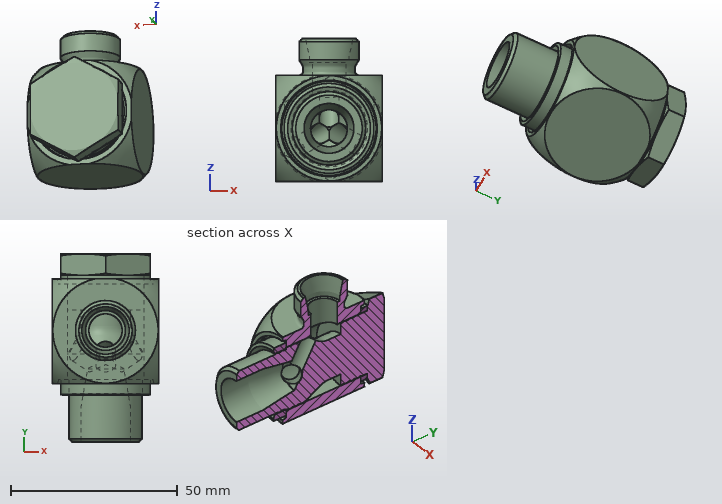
import cadquery as cq
import math


HOUSING_WIDTH = 32.0
HOUSING_FRONT_Y = -HOUSING_WIDTH / 2
HOUSING_REAR_Y = 15.5
FACE_CIRCLE_DIAMETER = 31.65
CROSS_BORE_DIAMETER = 23.0
RECESS_MOUTH_DIAMETER = 29.0
RECESS_FLOOR_DIAMETER = 28.3
RECESS_DEPTH = 1.4
FRONT_FLOOR_Y = HOUSING_FRONT_Y + RECESS_DEPTH
REAR_FLOOR_Y = HOUSING_REAR_Y - RECESS_DEPTH

PORT_HEIGHT = 11.0
PORT_BASE_Z = HOUSING_WIDTH / 2
PORT_TOP_Z = PORT_BASE_Z + PORT_HEIGHT
PORT_DIAMETER = 18.0
PORT_CHAMFER = 1.0
PORT_COLLAR_HEIGHT = 6.45
NECK_DIAMETER = 15.7
NECK_CONE_ANGLE = 30.0
NECK_FILLET = 1.0
PORT_MOUTH_DIAMETER = 14.25
TUBE_DIAMETER = 12.0
TUBE_DEPTH = 7.2
TUBE_CONE_ANGLE = 12.0
PORT_BORE_DIAMETER = 10.0

RING_DIAMETER = 27.0
RING_BORE_DIAMETER = 22.1
RING_CONE_DIAMETER = 24.85
RING_CONE_DEPTH = 0.6
RING_FRONT_Y = -19.5
RING_EDGE_DEPTH = 0.3

BOLT_LENGTH = 56.5
BOLT_FRONT_Y = -33.5
BOLT_REAR_Y = BOLT_FRONT_Y + BOLT_LENGTH
HEAD_LENGTH = 6.4
HEAD_FRONT_Y = BOLT_REAR_Y - HEAD_LENGTH
HEAD_ACROSS_FLATS = 27.0
HEAD_SIDES = 6
HEAD_HALF_SIDE_ANGLE = 180.0 / HEAD_SIDES
HEAD_CHAMFER_ANGLE = 15.0
STUD_DIAMETER = 22.0
STUD_CHAMFER = 1.0
SHANK_DIAMETER = 22.95
WAIST_DIAMETER = 15.0
WAIST_REAR_Y = 6.2
WAIST_ARC_REAR_Y = 1.3
WAIST_ARC_FRONT_Y = -1.4
WAIST_CONE_ANGLE = 30.0
BOLT_MOUTH_DIAMETER = 15.0
BOLT_MOUTH_END_Y = -23.15
BOLT_BORE_DIAMETER = 11.0
BOLT_BORE_TIP_Y = -8.15
BOLT_STEP_ANGLE = 10.0
DRILL_TIP_ANGLE = 59.0
OIL_HOLE_DIAMETER = 6.0
OIL_HOLE_COUNT = 3
OIL_HOLE_ANGLE = WAIST_CONE_ANGLE
OIL_HOLE_AXIS_Y = -12.1
OIL_HOLE_LENGTH = 16.95


def tan(degrees):
    return math.tan(math.radians(degrees))


def turned_about_y(outline):
    """Revolve (radius, y) points about the Y axis."""
    return cq.Workplane("XY").polyline(outline).close().revolve(360, (0, 0, 0), (0, 1, 0))


def turned_about_z(outline):
    """Revolve (radius, z) points about the Z axis."""
    return cq.Workplane("XZ").polyline(outline).close().revolve(360, (0, 0, 0), (0, 1, 0))


def cylinder_along_y(diameter, start_y, end_y):
    radius = diameter / 2
    return turned_about_y([(0, start_y), (radius, start_y), (radius, end_y), (0, end_y)])


def make_block():
    """Block whose edges are rounded off by a sphere, leaving a circle on each face."""
    length = HOUSING_REAR_Y - HOUSING_FRONT_Y
    middle_y = (HOUSING_REAR_Y + HOUSING_FRONT_Y) / 2
    block = cq.Workplane("XY").box(HOUSING_WIDTH, length, HOUSING_WIDTH).translate((0, middle_y, 0))
    ball_radius = math.hypot(HOUSING_WIDTH / 2, FACE_CIRCLE_DIAMETER / 2)
    return block.intersect(cq.Workplane("XY").sphere(ball_radius))


def make_port_body():
    radius = PORT_DIAMETER / 2
    neck_radius = NECK_DIAMETER / 2
    cone_top_z = PORT_TOP_Z - PORT_COLLAR_HEIGHT
    cone_bottom_z = cone_top_z - (radius - neck_radius) / tan(NECK_CONE_ANGLE)
    port = turned_about_z([
        (0, PORT_BASE_Z),
        (neck_radius, PORT_BASE_Z),
        (neck_radius, cone_bottom_z),
        (radius, cone_top_z),
        (radius, PORT_TOP_Z - PORT_CHAMFER),
        (radius - PORT_CHAMFER, PORT_TOP_Z),
        (0, PORT_TOP_Z),
    ])
    neck_corner = cq.selectors.CenterNthSelector(cq.Vector(0, 0, 1), 1)
    return port.edges("%CIRCLE").edges(neck_corner).fillet(NECK_FILLET)


def make_port_foot():
    """Fillet flaring from the neck onto the top face of the housing."""
    neck_radius = NECK_DIAMETER / 2
    foot_top_z = PORT_BASE_Z + NECK_FILLET
    arc_middle = NECK_FILLET * (1 - math.sqrt(0.5))
    return (
        cq.Workplane("XZ")
        .moveTo(0, PORT_BASE_Z)
        .lineTo(neck_radius + NECK_FILLET, PORT_BASE_Z)
        .threePointArc((neck_radius + arc_middle, PORT_BASE_Z + arc_middle), (neck_radius, foot_top_z))
        .lineTo(0, foot_top_z)
        .close()
        .revolve(360, (0, 0, 0), (0, 1, 0))
    )


def make_port_cavity():
    """Tube socket with a coned mouth, and the bore below it down to the cross bore."""
    mouth_radius = PORT_MOUTH_DIAMETER / 2
    tube_radius = TUBE_DIAMETER / 2
    bore_radius = PORT_BORE_DIAMETER / 2
    cone_end_z = PORT_TOP_Z - (mouth_radius - tube_radius) / tan(TUBE_CONE_ANGLE)
    shoulder_z = PORT_TOP_Z - TUBE_DEPTH
    return turned_about_z([
        (0, 0),
        (bore_radius, 0),
        (bore_radius, shoulder_z),
        (tube_radius, shoulder_z),
        (tube_radius, cone_end_z),
        (mouth_radius, PORT_TOP_Z),
        (0, PORT_TOP_Z),
    ])


def make_ring_recess(face_y, floor_y):
    """Shallow coned recess that takes a seal ring."""
    return turned_about_y([
        (0, floor_y),
        (RECESS_FLOOR_DIAMETER / 2, floor_y),
        (RECESS_MOUTH_DIAMETER / 2, face_y),
        (0, face_y),
    ])


def make_housing():
    body = make_block().union(make_port_body()).union(make_port_foot())
    body = body.cut(make_port_cavity())
    body = body.cut(cylinder_along_y(CROSS_BORE_DIAMETER, HOUSING_FRONT_Y, HOUSING_REAR_Y))
    body = body.cut(make_ring_recess(HOUSING_FRONT_Y, FRONT_FLOOR_Y))
    return body.cut(make_ring_recess(HOUSING_REAR_Y, REAR_FLOOR_Y))


def make_front_ring():
    """Ring on the stud with a bevelled end face and a coned bore mouth."""
    radius = RING_DIAMETER / 2
    bore_radius = RING_BORE_DIAMETER / 2
    return turned_about_y([
        (bore_radius, FRONT_FLOOR_Y),
        (radius, FRONT_FLOOR_Y),
        (radius, RING_FRONT_Y + RING_EDGE_DEPTH),
        (RING_CONE_DIAMETER / 2, RING_FRONT_Y),
        (bore_radius, RING_FRONT_Y + RING_CONE_DEPTH),
    ])


def make_rear_ring():
    """Plain ring between the housing and the bolt head."""
    ring = cylinder_along_y(RING_DIAMETER, REAR_FLOOR_Y, HEAD_FRONT_Y)
    return ring.cut(cylinder_along_y(SHANK_DIAMETER, REAR_FLOOR_Y, HEAD_FRONT_Y))


def make_bolt_head():
    """Hexagon with corners up and down, both ends chamfered to the flats' circle."""
    corner_diameter = HEAD_ACROSS_FLATS / math.cos(math.radians(HEAD_HALF_SIDE_ANGLE))
    hexagon = (
        cq.Workplane("XZ", origin=(0, HEAD_FRONT_Y, 0))
        .polygon(HEAD_SIDES, corner_diameter)
        .extrude(-HEAD_LENGTH)
        .rotate((0, 0, 0), (0, 1, 0), HEAD_HALF_SIDE_ANGLE)
    )
    inner_radius = HEAD_ACROSS_FLATS / 2
    outer_radius = corner_diameter / 2
    chamfer_depth = (outer_radius - inner_radius) * tan(HEAD_CHAMFER_ANGLE)
    envelope = turned_about_y([
        (0, HEAD_FRONT_Y),
        (inner_radius, HEAD_FRONT_Y),
        (outer_radius, HEAD_FRONT_Y + chamfer_depth),
        (outer_radius, BOLT_REAR_Y - chamfer_depth),
        (inner_radius, BOLT_REAR_Y),
        (0, BOLT_REAR_Y),
    ])
    return hexagon.intersect(envelope)


def make_bolt_shank():
    """Stud, front land, coned and rounded waist, and rear land up to the head."""
    stud_radius = STUD_DIAMETER / 2
    shank_radius = SHANK_DIAMETER / 2
    waist_radius = WAIST_DIAMETER / 2
    arc_length = WAIST_ARC_REAR_Y - WAIST_ARC_FRONT_Y
    arc_radius = arc_length / math.sin(math.radians(WAIST_CONE_ANGLE))
    half_angle = math.radians(WAIST_CONE_ANGLE / 2)
    arc_middle = (
        waist_radius + arc_radius * (1 - math.cos(half_angle)),
        WAIST_ARC_REAR_Y - arc_radius * math.sin(half_angle),
    )
    cone_small_radius = waist_radius + arc_radius * (1 - math.cos(2 * half_angle))
    cone_front_y = WAIST_ARC_FRONT_Y - (shank_radius - cone_small_radius) / tan(WAIST_CONE_ANGLE)
    return (
        cq.Workplane("XY")
        .moveTo(0, BOLT_FRONT_Y)
        .lineTo(stud_radius - STUD_CHAMFER, BOLT_FRONT_Y)
        .lineTo(stud_radius, BOLT_FRONT_Y + STUD_CHAMFER)
        .lineTo(stud_radius, FRONT_FLOOR_Y)
        .lineTo(shank_radius, FRONT_FLOOR_Y)
        .lineTo(shank_radius, cone_front_y)
        .lineTo(cone_small_radius, WAIST_ARC_FRONT_Y)
        .threePointArc(arc_middle, (waist_radius, WAIST_ARC_REAR_Y))
        .lineTo(waist_radius, WAIST_REAR_Y)
        .lineTo(shank_radius, WAIST_REAR_Y)
        .lineTo(shank_radius, HEAD_FRONT_Y)
        .lineTo(0, HEAD_FRONT_Y)
        .close()
        .revolve(360, (0, 0, 0), (0, 1, 0))
    )


def make_bolt_bore():
    """Stepped blind bore from the stud end, ending in a drill point."""
    mouth_radius = BOLT_MOUTH_DIAMETER / 2
    bore_radius = BOLT_BORE_DIAMETER / 2
    step_end_y = BOLT_MOUTH_END_Y + (mouth_radius - bore_radius) / tan(BOLT_STEP_ANGLE)
    return turned_about_y([
        (0, BOLT_FRONT_Y),
        (mouth_radius, BOLT_FRONT_Y),
        (mouth_radius, BOLT_MOUTH_END_Y),
        (bore_radius, step_end_y),
        (bore_radius, BOLT_BORE_TIP_Y - bore_radius / tan(DRILL_TIP_ANGLE)),
        (0, BOLT_BORE_TIP_Y),
    ])


def make_oil_hole(turn):
    """Slanted hole from the bore axis out through the waist cone."""
    slant = math.radians(OIL_HOLE_ANGLE)
    axis = cq.Vector(0, math.sin(slant), math.cos(slant))
    start = cq.Vector(0, OIL_HOLE_AXIS_Y, 0)
    hole = cq.Solid.makeCylinder(OIL_HOLE_DIAMETER / 2, OIL_HOLE_LENGTH, start, axis)
    return hole.rotate(cq.Vector(0, 0, 0), cq.Vector(0, 1, 0), turn)


def make_bolt():
    bolt = make_bolt_head().union(make_bolt_shank()).cut(make_bolt_bore())
    for index in range(OIL_HOLE_COUNT):
        bolt = bolt.cut(cq.Workplane(make_oil_hole(index * 360 / OIL_HOLE_COUNT)))
    return bolt


housing = make_housing()
front_ring = make_front_ring()
rear_ring = make_rear_ring()
bolt = make_bolt()

result = cq.Compound.makeCompound([housing.val(), front_ring.val(), rear_ring.val(), bolt.val()])